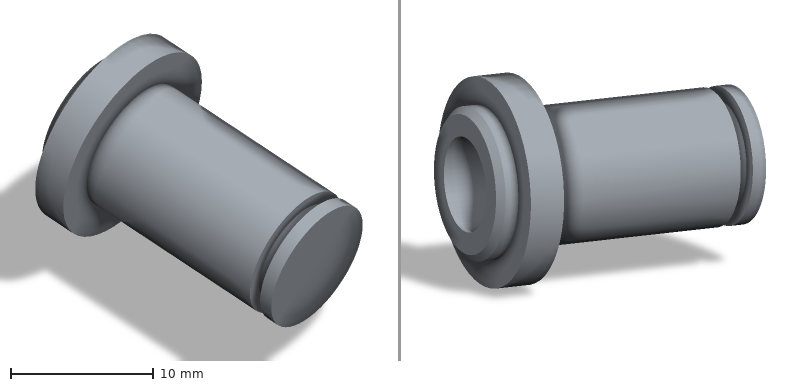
import cadquery as cq
import math

total_length = 21.1
pilot_length = 1.5
flange_thickness = 2.6
groove_width = 0.95
end_collar_length = 1.03

flange_diameter = 15.0
pilot_diameter = 11.0
body_diameter = 9.9
groove_diameter = 7.9
bore_diameter = 6.8

pilot_chamfer = 0.5
bore_depth = 14.98
drill_point_angle = 118.0


def cylinder(diameter, start, length):
    """Solid cylinder on the X axis."""
    return cq.Workplane("YZ", origin=(start, 0, 0)).circle(diameter / 2).extrude(length)


pilot = cylinder(pilot_diameter, 0, pilot_length).faces("<X").chamfer(pilot_chamfer)
flange = cylinder(flange_diameter, pilot_length, flange_thickness)
body_start = pilot_length + flange_thickness
body = cylinder(body_diameter, body_start, total_length - body_start)

groove_start = total_length - end_collar_length - groove_width
groove = cylinder(body_diameter, groove_start, groove_width).cut(
    cylinder(groove_diameter, groove_start, groove_width)
)

bore_radius = bore_diameter / 2
drill_tip = bore_depth + bore_radius / math.tan(math.radians(drill_point_angle / 2))
bore = (
    cq.Workplane("XY")
    .polyline([(0, 0), (0, bore_radius), (bore_depth, bore_radius), (drill_tip, 0)])
    .close()
    .revolve(360, (0, 0, 0), (1, 0, 0))
)

result = pilot.union(flange).union(body).cut(groove).cut(bore)